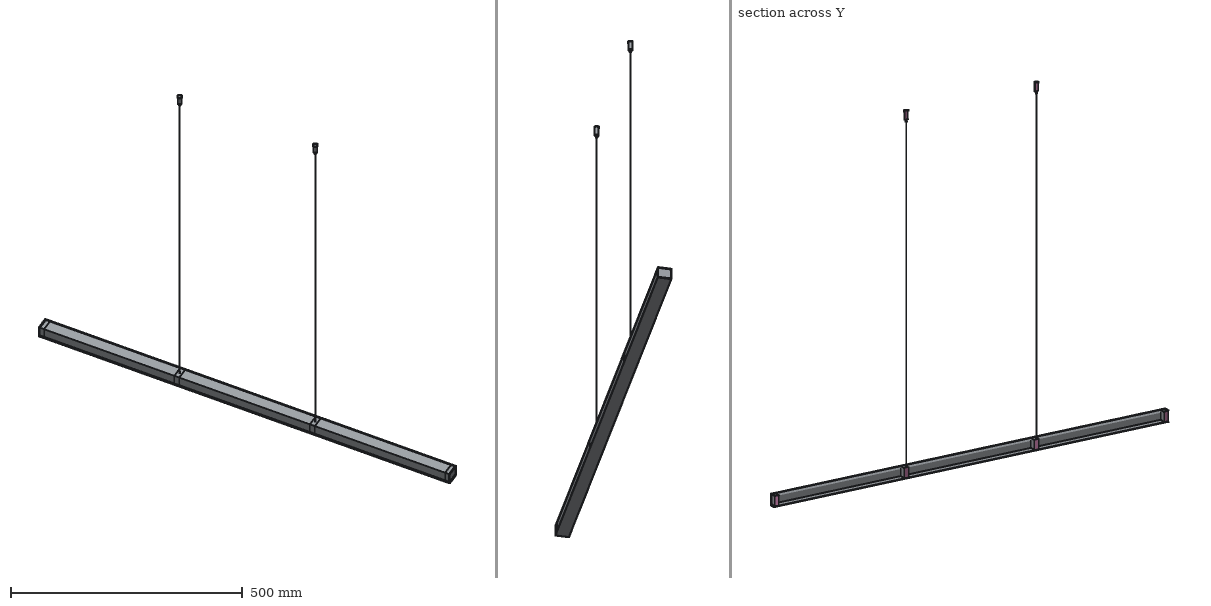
import cadquery as cq

length = 1000.0
width = 30.0
height = 850.0

bar_height = 27.0
wall = 1.5
diffuser_thickness = 3.0

cap_plate = 2.0
plug_depth = 10.0

hanger_spacing = 330.0
wire_diameter = 1.2
block_length = 12.0
stem_diameter = 3.0
neck_diameter = 4.0
neck_height = 5.0
gripper_diameter = 9.0
gripper_height = 19.0
flange_diameter = 11.0
flange_height = 2.0

channel_length = length - 2 * cap_plate
cavity_width = width - 2 * wall
cavity_top = bar_height - wall
cavity_height = cavity_top - diffuser_thickness
hanger_positions = (-hanger_spacing / 2, hanger_spacing / 2)


def centred_box(size_x, size_y, size_z, x, bottom):
    """Box centred on Y = 0, with its middle at x and its underside at bottom."""
    box = cq.Workplane("XY").box(size_x, size_y, size_z, centered=(True, True, False))
    return box.translate((x, 0, bottom))


def cylinder(diameter, x, bottom, top):
    """Upright cylinder at x on Y = 0."""
    base = cq.Workplane("XY", origin=(x, 0, bottom))
    return base.circle(diameter / 2).extrude(top - bottom)


def make_housing():
    """Thin channel above the diffuser, with a round hole in its top for each hanger stem."""
    outer = centred_box(channel_length, width, bar_height - diffuser_thickness, 0, diffuser_thickness)
    cavity = centred_box(channel_length, cavity_width, cavity_height, 0, diffuser_thickness)
    body = outer.cut(cavity)
    for x in hanger_positions:
        body = body.cut(cylinder(stem_diameter, x, cavity_top, bar_height))
    return body


def make_diffuser():
    """Flat strip that closes the bottom of the channel."""
    return centred_box(channel_length, width, diffuser_thickness, 0, 0)


def make_end_cap(side):
    """Flush end plate with a plug that fills the end of the cavity; side is -1 or 1."""
    plate = centred_box(cap_plate, width, bar_height, side * (length - cap_plate) / 2, 0)
    plug_x = side * (channel_length - plug_depth) / 2
    plug = centred_box(plug_depth, cavity_width, cavity_height, plug_x, diffuser_thickness)
    return plate.union(plug)


def make_hanger(x):
    """Anchor block inside the channel, stem through its top, wire, neck and flanged ceiling gripper."""
    flange_bottom = height - flange_height
    gripper_bottom = flange_bottom - gripper_height
    neck_bottom = gripper_bottom - neck_height

    hanger = centred_box(block_length, cavity_width, cavity_height, x, diffuser_thickness)
    hanger = hanger.union(cylinder(stem_diameter, x, cavity_top, bar_height))
    hanger = hanger.union(cylinder(wire_diameter, x, bar_height, neck_bottom))
    hanger = hanger.union(cylinder(neck_diameter, x, neck_bottom, gripper_bottom))
    hanger = hanger.union(cylinder(gripper_diameter, x, gripper_bottom, flange_bottom))
    return hanger.union(cylinder(flange_diameter, x, flange_bottom, height))


housing = make_housing()
diffuser = make_diffuser()
end_caps = [make_end_cap(side) for side in (-1, 1)]
hangers = [make_hanger(x) for x in hanger_positions]

bodies = [housing, diffuser, *end_caps, *hangers]
result = cq.Compound.makeCompound([body.val() for body in bodies])